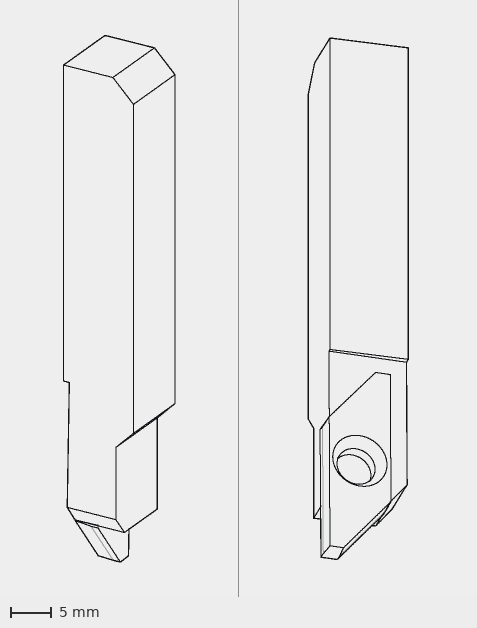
import cadquery as cq
import math

LENGTH = 70.0
WIDTH = 10.0
TOP_CHAMFER = 2.95
NECK_WIDTH = 7.5
NECK_SHOULDER_Z = 22.4
NECK_BOTTOM_Z = 7.5
CORNER_CUT_Z = 10.1
RELIEF_TOP_Z = 27.1

TILT_ALONG_Z = 1.0
TILT_ALONG_Y = 2.0

INSERT_THICKNESS = 3.2
FLANK_DEPTH = 2.25
FLANK_FLARE = 0.155
INSERT_SIDE_Y = 2.1
INSERT_TOP_Z = 25.05
INSERT_TOP_WIDTH = 1.9
UPPER_CORNER_Z = 18.0
LOWER_CORNER_Z = 7.4
TIP_WIDTH = 1.75
TIP_Z = 0.055

HOLE_Y = 6.1
HOLE_Z = 12.45
HOLE_DIAMETER = 4.9
SINK_DIAMETER = 7.0
SINK_DEPTH = 1.55

CUTTER_SIZE = 4 * LENGTH

slope_z = math.tan(math.radians(TILT_ALONG_Z))
slope_y = math.tan(math.radians(TILT_ALONG_Y))
face_plane = cq.Plane(origin=(0, WIDTH, 0), xDir=(-slope_y, 1, 0), normal=(1, slope_y, -slope_z))


def insert_outline(flare):
    """Outline of the insert with its side edge and lower sloped edge moved outward by flare."""
    side = INSERT_SIDE_Y - WIDTH
    edge_run = -TIP_WIDTH - side
    edge_rise = LOWER_CORNER_Z - TIP_Z
    drop = flare * math.hypot(edge_run, edge_rise) / edge_run
    tip_shift = drop * edge_run / edge_rise
    upper_slope = (INSERT_TOP_Z - UPPER_CORNER_Z) / (-side - INSERT_TOP_WIDTH)
    return [
        (flare, TIP_Z),
        (-TIP_WIDTH - tip_shift, TIP_Z),
        (side, LOWER_CORNER_Z - drop),
        (side, INSERT_TOP_Z),
        (side + INSERT_TOP_WIDTH, INSERT_TOP_Z),
        (flare, UPPER_CORNER_Z - flare * upper_slope),
    ]


def make_insert_blank():
    """Insert without its hole: flared flanks, then a straight base."""
    flanks = (
        cq.Workplane(face_plane)
        .polyline(insert_outline(0)).close()
        .workplane(offset=FLANK_DEPTH)
        .polyline(insert_outline(FLANK_FLARE)).close()
        .loft(ruled=True)
    )
    base = (
        cq.Workplane(face_plane)
        .workplane(offset=FLANK_DEPTH)
        .polyline(insert_outline(FLANK_FLARE)).close()
        .extrude(INSERT_THICKNESS - FLANK_DEPTH)
    )
    return flanks.union(base)


def make_insert():
    """Insert with a countersunk through hole."""
    sink_angle = 2 * math.degrees(math.atan2((SINK_DIAMETER - HOLE_DIAMETER) / 2, SINK_DEPTH))
    return (
        make_insert_blank()
        .copyWorkplane(cq.Workplane(face_plane.rotated((0, 180, 0))))
        .pushPoints([(WIDTH - HOLE_Y, HOLE_Z)])
        .cskHole(HOLE_DIAMETER, SINK_DIAMETER, sink_angle)
    )


def make_shank():
    """Bar with a chamfered top, narrowed neck, sloped end, inclined face and insert pocket."""
    shoulder = WIDTH - NECK_WIDTH
    bar = (
        cq.Workplane("XZ")
        .polyline([
            (0, NECK_BOTTOM_Z),
            (NECK_WIDTH, NECK_BOTTOM_Z),
            (NECK_WIDTH, NECK_SHOULDER_Z - shoulder),
            (WIDTH, NECK_SHOULDER_Z),
            (WIDTH, LENGTH - TOP_CHAMFER),
            (WIDTH - TOP_CHAMFER, LENGTH),
            (0, LENGTH),
        ])
        .close()
        .extrude(-WIDTH)
    )
    sloped_end = (
        cq.Workplane("YZ")
        .polyline([(0, NECK_BOTTOM_Z), (INSERT_SIDE_Y, NECK_BOTTOM_Z), (0, CORNER_CUT_Z)])
        .close()
        .extrude(WIDTH)
    )
    below_relief_top = cq.Workplane("XY").rect(CUTTER_SIZE, CUTTER_SIZE).extrude(RELIEF_TOP_Z)
    relief_space = (
        cq.Workplane(face_plane)
        .rect(CUTTER_SIZE, CUTTER_SIZE)
        .extrude(-WIDTH)
        .intersect(below_relief_top)
    )
    return bar.cut(sloped_end).cut(relief_space).cut(make_insert_blank())


shank = make_shank()
insert = make_insert()
result = cq.Compound.makeCompound([shank.val(), insert.val()])